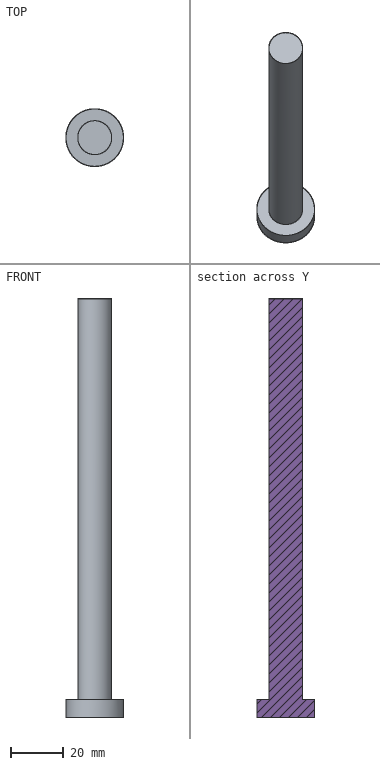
import cadquery as cq

total_length = 160.0
head_diameter = 22.0
head_height = 7.0
shaft_diameter = 13.0

head = cq.Workplane("XY").circle(head_diameter / 2).extrude(head_height)
shaft = cq.Workplane("XY").circle(shaft_diameter / 2).extrude(total_length)

result = head.union(shaft)